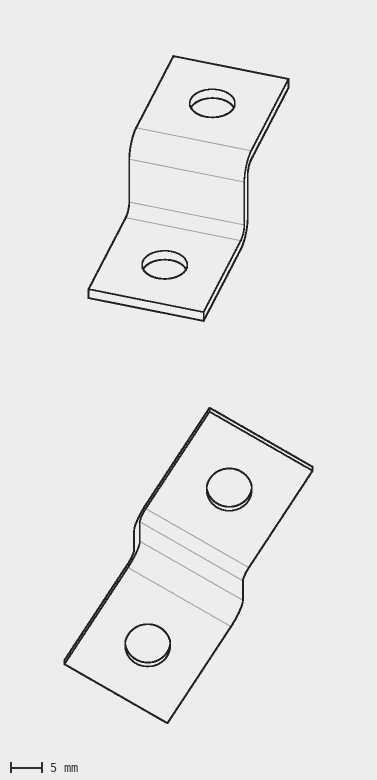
import cadquery as cq

width = 19.05
length = 43.65
height = 15.75
thickness = 1.8
inner_radius = 1.8
hole_diameter = 7.1

outer_radius = inner_radius + thickness
half_length = length / 2
half_height = height / 2
half_web = thickness / 2
bend_end = outer_radius - half_web
flange_flat = half_length - bend_end
hole_offset = half_length - flange_flat / 2


def bent_strip():
    """Z profile in the YZ plane, extruded symmetrically along X; the upper flange points to +Y."""
    sheet = (
        cq.Workplane("YZ")
        .moveTo(-half_length, -half_height)
        .lineTo(half_web, -half_height)
        .lineTo(half_web, half_height - thickness)
        .lineTo(half_length, half_height - thickness)
        .lineTo(half_length, half_height)
        .lineTo(-half_web, half_height)
        .lineTo(-half_web, thickness - half_height)
        .lineTo(-half_length, thickness - half_height)
        .close()
        .extrude(width / 2, both=True)
    )
    for side in (-1, 1):
        outer_corner = (0, -side * half_web, side * half_height)
        inner_corner = (0, side * half_web, side * (half_height - thickness))
        for corner, radius in ((outer_corner, outer_radius), (inner_corner, inner_radius)):
            bend_edge = cq.selectors.NearestToPointSelector(corner)
            sheet = sheet.edges("|X").edges(bend_edge).fillet(radius)
    return sheet


def flange_holes():
    """One vertical hole centred on the flat of each flange."""
    return (
        cq.Workplane("XY")
        .pushPoints([(0, -hole_offset), (0, hole_offset)])
        .circle(hole_diameter / 2)
        .extrude(height, both=True)
    )


result = bent_strip().cut(flange_holes())